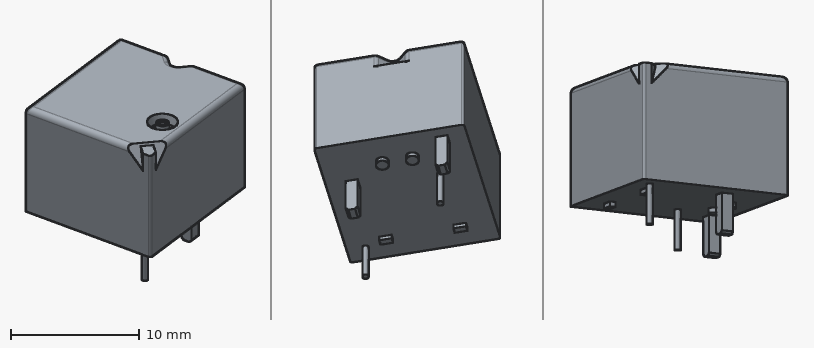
import cadquery as cq

housing_x = 12.0
housing_y = 12.9
housing_z = 9.5
corner_radius = 0.2
edge_radius = 0.5
right_wall = housing_x / 2
front_wall = -housing_y / 2
back_wall = housing_y / 2

notch_centre_x = -0.2
notch_half_mouth = 1.2
notch_reach = 0.93
notch_half_end = notch_half_mouth - notch_reach
notch_depth = 1.5
notch_radius = 0.5

vent_x = 4.0
vent_y = -2.0
vent_rim_diameter = 2.4
vent_floor_diameter = 2.0
vent_depth = 0.8
vent_floor_z = housing_z - vent_depth
stub_base_diameter = 1.2
stub_top_diameter = 1.0
stub_drop = 0.1
stub_top_z = housing_z - stub_drop
stub_hole_diameter = 0.5
stub_hole_floor_diameter = 0.4
stub_mouth_chamfer = 0.09
stub_mouth_diameter = stub_hole_diameter + 2 * stub_mouth_chamfer

corner_cut = 2.5
rib_width = 1.0
rib_drop = 0.2
rib_top_z = housing_z - rib_drop

foot_height = 0.39
foot_size = 1.0
bar_foot_depth = foot_size / 2
round_foot_places = [(-1.29, 3.86), (1.11, 3.86)]
bar_foot_places = [(-3.24, -4.4), (2.7, -4.4)]

terminal_length = 3.2
blade_width = 0.95
blade_depth = 1.0
blade_chamfer = 0.2
blade_places = [(-4.0, 5.08), (3.9, 1.9)]
pin_diameter = 0.5
pin_places = [(-2.98, 1.5), (4.49, -5.08)]


def make_block():
    block = cq.Workplane("XY").rect(housing_x, housing_y).extrude(housing_z)
    return block.edges("|Z").fillet(corner_radius)


def vertical_edge_at(x, y):
    """Selector for the vertical edge that stands at one place in plan."""
    margin = 0.006
    return cq.selectors.BoxSelector((x - margin, y - margin, 0), (x + margin, y + margin, housing_z))


def cut_notch(body):
    cutter = (
        cq.Workplane("XY", origin=(notch_centre_x, back_wall, housing_z))
        .moveTo(-notch_half_mouth, 0)
        .lineTo(-notch_half_end, -notch_reach)
        .lineTo(notch_half_end, -notch_reach)
        .lineTo(notch_half_mouth, 0)
        .close()
        .extrude(-notch_depth)
    )
    body = body.cut(cutter)
    for side in (-1, 1):
        end_edge = vertical_edge_at(notch_centre_x + side * notch_half_end, back_wall - notch_reach)
        mouth_edge = vertical_edge_at(notch_centre_x + side * notch_half_mouth, back_wall)
        for edge in (end_edge, mouth_edge):
            body = body.edges("|Z").edges(edge).fillet(notch_radius)
    return body


def round_top_edges(body):
    return body.faces(">Z").edges().fillet(edge_radius)


def make_corner_cutter():
    """Tetrahedron filling the corner, bounded on its inner side by the sloped plane."""
    corner = cq.Vector(right_wall, front_wall, housing_z)
    along_front = corner - cq.Vector(corner_cut, 0, 0)
    along_right = corner + cq.Vector(0, corner_cut, 0)
    below = corner - cq.Vector(0, 0, corner_cut)
    triangles = [
        (corner, along_front, along_right),
        (corner, along_front, below),
        (corner, along_right, below),
        (along_front, along_right, below),
    ]
    faces = [cq.Face.makeFromWires(cq.Wire.makePolygon(points, close=True)) for points in triangles]
    return cq.Workplane(cq.Solid.makeSolid(cq.Shell.makeShell(faces)))


def make_corner_rib():
    """Upright bar along the corner's diagonal, trimmed to the rounded outline of the block."""
    bar = (
        cq.Workplane("XY")
        .rect(2 * corner_cut, rib_width)
        .extrude(rib_top_z)
        .rotate((0, 0, 0), (0, 0, 1), -45)
        .translate((right_wall, front_wall, 0))
    )
    return make_block().intersect(bar)


def make_vent_cone(bottom_diameter, top_diameter, bottom_z, top_z):
    base = cq.Vector(vent_x, vent_y, bottom_z)
    return cq.Workplane(cq.Solid.makeCone(bottom_diameter / 2, top_diameter / 2, top_z - bottom_z, base))


def make_vent_stub():
    stub = make_vent_cone(stub_base_diameter, stub_top_diameter, vent_floor_z, stub_top_z)
    mouth_z = stub_top_z - stub_mouth_chamfer
    hole = make_vent_cone(stub_hole_floor_diameter, stub_hole_diameter, vent_floor_z, mouth_z)
    mouth = make_vent_cone(stub_hole_diameter, stub_mouth_diameter, mouth_z, stub_top_z)
    return stub.cut(hole).cut(mouth)


def make_vent_cutter():
    recess = make_vent_cone(vent_floor_diameter, vent_rim_diameter, vent_floor_z, housing_z)
    return recess.cut(make_vent_stub())


def add_feet(body):
    round_feet = cq.Workplane("XY").pushPoints(round_foot_places).circle(foot_size / 2)
    bar_feet = cq.Workplane("XY").pushPoints(bar_foot_places).rect(foot_size, bar_foot_depth)
    return body.union(round_feet.extrude(-foot_height)).union(bar_feet.extrude(-foot_height))


def make_housing():
    body = round_top_edges(cut_notch(make_block()))
    body = body.cut(make_corner_cutter()).union(make_corner_rib())
    body = body.cut(make_vent_cutter())
    return add_feet(body)


def make_blade(x, y):
    """Flat terminal, chamfered on both sides of its lower end."""
    blade = cq.Workplane("XY").rect(blade_width, blade_depth).extrude(-terminal_length)
    return blade.faces("<Z").edges("|Y").chamfer(blade_chamfer).translate((x, y, 0))


def make_pin(x, y):
    return cq.Workplane("XY").center(x, y).circle(pin_diameter / 2).extrude(-terminal_length)


housing = make_housing().solids()
blades = [make_blade(x, y).solids().val() for x, y in blade_places]
pins = [make_pin(x, y).solids().val() for x, y in pin_places]

result = cq.Compound.makeCompound([housing.val(), *blades, *pins])